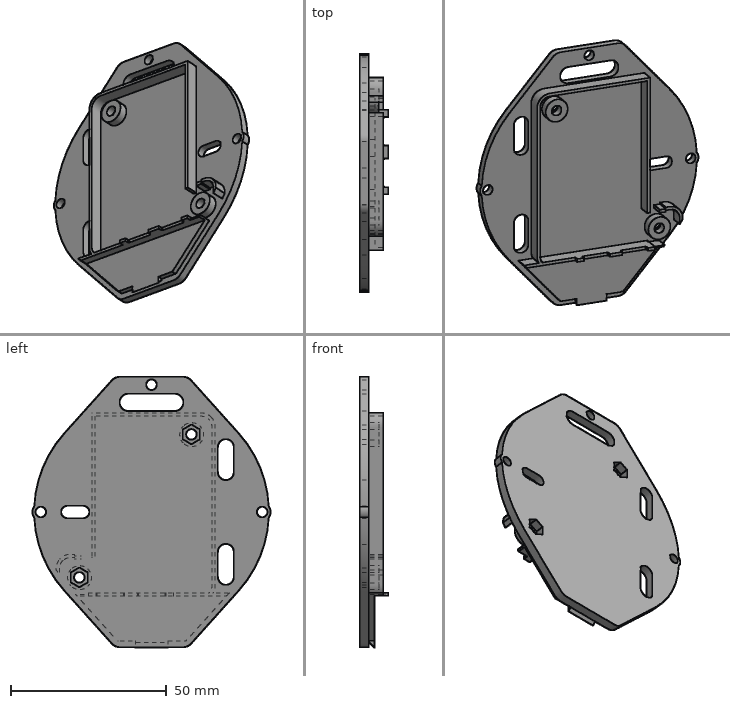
import cadquery as cq
import math

plate_thickness = 3.0
pad_level = 4.8
boss_level = 6.1
wall_level = 7.7
tab_level = 9.2

plate_half_height = 43.5
flat_half_width = 11.7
disc_radius = 37.75
flat_corner_radius = 3.75
tangent_angle = math.atan2(plate_half_height, flat_half_width) - math.acos(
    disc_radius / math.hypot(flat_half_width, plate_half_height)
)
ear_center_y = 35.6
overall_width = 76.6
ear_radius = overall_width / 2 - ear_center_y

hole_diameter = 3.3
top_hole_z = 40.9
hole_centers = [(0, top_hole_z), (ear_center_y, 0), (-ear_center_y, 0)]
strap_slot_y = -23.9
strap_slot_z = 16.8
slots = [
    (0, 35.2, 20.4, 5.5, 0),
    (24.5, 0, 9.0, 3.9, 0),
    (strap_slot_y, strap_slot_z, 13.1, 5.05, 90),
    (strap_slot_y, -strap_slot_z, 13.1, 5.05, 90),
]

boss_centers = [(-12.8, 24.9), (23.2, -21.0)]
boss_diameter = 7.7
nut_sides = 6
nut_turn = 180 / nut_sides
nut_across_flats = 5.5
nut_depth = 3.0

case_right = -20.4
case_left = 19.3
case_top = 31.9
case_bottom = -28.1
case_corner_radius = 4.5
wall_thickness = 1.05
floor_wall_top = -25.9
floor_wall_bottom = floor_wall_top - wall_thickness
rim_inset = 1.9

bay_left = 30.7
bay_top = -13.5
bay_wall_end = 22.7
bay_wall_step_y = 24.75
bay_floor_drop = 0.5
bay_wall_end_top = bay_top - wall_thickness / 2

tab_row_left = 20.3
tabs = [
    (17.9, tab_row_left, True, False),
    (4.5, 8.8, True, True),
    (-7, -4.6, False, True),
]
foot_size = 0.35

pad_bottom = -41.4
lip_half_width = 5.2
lip_bottom = -43.7
lip_root = 0.9


def plane():
    """Sketching plane parallel to the plate; its own x and y run along Y and Z."""
    return cq.Workplane("YZ")


def block(y_min, y_max, z_min, z_max, x_min, x_max):
    """Box given by its limits."""
    size = (x_max - x_min, y_max - y_min, z_max - z_min)
    return cq.Workplane("XY").box(*size, centered=False).translate((x_min, y_min, z_min))


def plate_body(x_max, inset=0):
    """Plate outline, moved inwards by the inset, from the outer face up to x_max."""
    radius = disc_radius - inset
    top = plate_half_height - inset
    tangent_y = radius * math.cos(tangent_angle)
    tangent_z = radius * math.sin(tangent_angle)
    flat_end = (radius - top * math.sin(tangent_angle)) / math.cos(tangent_angle)
    margin = plate_thickness
    flat_corners = cq.selectors.BoxSelector(
        (0, -tangent_y + margin, -top - margin),
        (x_max, tangent_y - margin, top + margin),
    )
    return (
        plane()
        .moveTo(-flat_end, top)
        .lineTo(flat_end, top)
        .lineTo(tangent_y, tangent_z)
        .threePointArc((radius, 0), (tangent_y, -tangent_z))
        .lineTo(flat_end, -top)
        .lineTo(-flat_end, -top)
        .lineTo(-tangent_y, -tangent_z)
        .threePointArc((-radius, 0), (-tangent_y, tangent_z))
        .close()
        .extrude(x_max)
        .edges("|X")
        .edges(flat_corners)
        .fillet(flat_corner_radius - inset)
    )


def base_plate():
    """Flat plate with the two rounded ears at its sides."""
    ears = plane().pushPoints([(-ear_center_y, 0), (ear_center_y, 0)]).circle(ear_radius)
    return plate_body(plate_thickness).union(ears.extrude(plate_thickness))


def case_body(inset=0):
    """Case block with rounded corners on its right side."""
    return (
        block(
            case_right + inset, case_left - inset,
            case_bottom + inset, case_top - inset,
            0, wall_level,
        )
        .edges("|X and <Y")
        .fillet(case_corner_radius - inset)
    )


def bay_body(inset=0):
    """Bay block with its upper outer corner rounded."""
    return (
        block(
            case_left - wall_thickness, bay_left - inset,
            floor_wall_bottom, bay_top - inset,
            0, wall_level,
        )
        .edges("|X and >Y and >Z")
        .fillet(case_corner_radius - inset)
    )


def case_walls():
    """Walls around the case, with the left one left open towards the bay."""
    passage = block(case_left - wall_thickness, case_left, floor_wall_top, bay_top, 0, wall_level)
    return case_body().cut(case_body(wall_thickness)).cut(passage)


def bay_walls():
    """Walls around the bay, open at the top beside the case and stepped down before the opening."""
    mouth = block(case_left, bay_wall_end, floor_wall_top, bay_top, 0, wall_level)
    step = block(bay_wall_end, bay_wall_step_y, bay_wall_end_top, bay_top, 0, wall_level)
    wall_end = block(
        bay_wall_end, bay_wall_step_y,
        bay_wall_end_top - wall_thickness, bay_wall_end_top,
        0, wall_level,
    )
    return bay_body().cut(bay_body(wall_thickness)).cut(mouth).cut(step).union(wall_end)


def floor_wall():
    """Wall across the plate below the case and the bay, thinner under the bay."""
    wall = block(-disc_radius, disc_radius, floor_wall_bottom, floor_wall_top, 0, wall_level)
    bay_floor_gap = block(
        tab_row_left, disc_radius,
        floor_wall_top - bay_floor_drop, floor_wall_top,
        0, wall_level,
    )
    return wall.cut(bay_floor_gap)


def walls():
    """All walls, ending at the floor wall and at the rim set in from the plate outline."""
    below_floor = block(
        -disc_radius, disc_radius,
        -plate_half_height, floor_wall_bottom,
        0, wall_level,
    )
    upper_walls = case_walls().union(bay_walls()).cut(below_floor)
    return upper_walls.union(floor_wall()).intersect(plate_body(wall_level, rim_inset))


def bosses():
    """Round posts that carry the screws."""
    return plane().pushPoints(boss_centers).circle(boss_diameter / 2).extrude(boss_level)


def lower_pad():
    """Raised pad below the floor wall, with a 45 degree wedge lip along its bottom."""
    pad_limits = block(-disc_radius, disc_radius, pad_bottom, floor_wall_bottom, 0, pad_level)
    pad = plate_body(pad_level, rim_inset).intersect(pad_limits)
    lip = (
        cq.Workplane("XZ", origin=(0, lip_half_width, 0))
        .moveTo(plate_thickness, pad_bottom + lip_root)
        .lineTo(plate_thickness, lip_bottom + pad_level - plate_thickness)
        .lineTo(pad_level, lip_bottom)
        .lineTo(pad_level, pad_bottom + lip_root)
        .close()
        .extrude(2 * lip_half_width)
    )
    return pad.union(lip)


def tab(right, left):
    """Tab standing on the floor wall."""
    return block(right, left, floor_wall_bottom, floor_wall_top, boss_level, tab_level)


def tab_foot(side, direction):
    """45 degree foot that widens a tab at the given side, towards +Y or -Y."""
    return (
        cq.Workplane("XY", origin=(0, 0, floor_wall_bottom))
        .moveTo(wall_level, side)
        .lineTo(wall_level, side + direction * foot_size)
        .lineTo(wall_level + foot_size, side)
        .close()
        .extrude(wall_thickness)
    )


result = base_plate().union(walls()).union(bosses()).union(lower_pad())
for right, left, foot_on_right, foot_on_left in tabs:
    result = result.union(tab(right, left))
    if foot_on_right:
        result = result.union(tab_foot(right, -1))
    if foot_on_left:
        result = result.union(tab_foot(left, 1))

result = result.cut(
    plane().pushPoints(hole_centers + boss_centers).circle(hole_diameter / 2).extrude(wall_level)
)
for slot_y, slot_z, length, width, angle in slots:
    result = result.cut(
        plane().center(slot_y, slot_z).slot2D(length, width, angle).extrude(wall_level)
    )
nut_diameter = nut_across_flats / math.cos(math.pi / nut_sides)
for center_y, center_z in boss_centers:
    nut = plane().polygon(nut_sides, nut_diameter).extrude(nut_depth)
    result = result.cut(nut.rotate((0, 0, 0), (1, 0, 0), nut_turn).translate((0, center_y, center_z)))